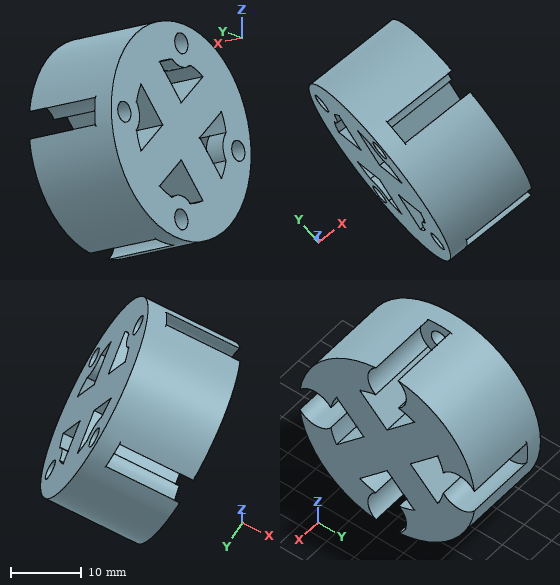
import cadquery as cq
import math

outer_diameter = 32.0
drum_length = 15.0
floor_thickness = 3.0
window_radius = 10.43
arm_width = 6.0
hole_circle_radius = 13.02
hole_diameter = 3.0
groove_radius = 3.5
side_count = 4

apex_distance = arm_width / math.sqrt(2)
corner_offset = (math.sqrt(2 * window_radius**2 - apex_distance**2) - apex_distance) / 2
corner_distance = apex_distance + corner_offset


def cylinder(start, radius, length, center_y=0):
    """Cylinder along X with its near end at X = start."""
    return cq.Workplane("YZ", origin=(start, center_y, 0)).circle(radius).extrude(length)


def make_window():
    """Full-length opening between two neighbouring cross arms, on the +Y side."""
    return (
        cq.Workplane("YZ")
        .moveTo(apex_distance, 0)
        .lineTo(corner_distance, -corner_offset)
        .threePointArc((window_radius, 0), (corner_distance, corner_offset))
        .close()
        .extrude(drum_length)
    )


def make_side_cutter():
    """Window, groove and screw hole of one side; the floor keeps a round tab at the hole."""
    floor_tab = cylinder(0, groove_radius, floor_thickness, hole_circle_radius)
    groove = cylinder(
        floor_thickness, groove_radius, drum_length - floor_thickness, hole_circle_radius
    )
    hole = cylinder(0, hole_diameter / 2, drum_length, hole_circle_radius)
    return make_window().cut(floor_tab).union(groove).union(hole)


result = cylinder(0, outer_diameter / 2, drum_length)
side_cutter = make_side_cutter()
for side in range(side_count):
    angle = side * 360 / side_count
    result = result.cut(side_cutter.rotate((0, 0, 0), (1, 0, 0), angle))